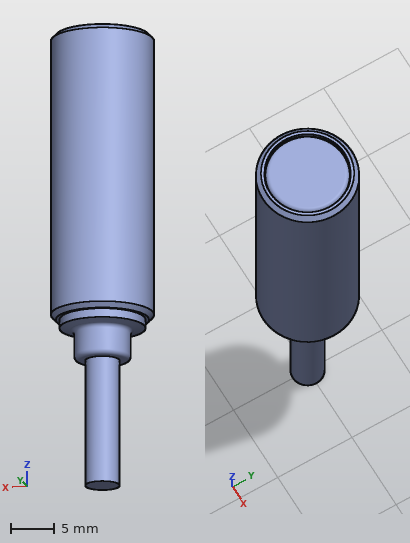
import cadquery as cq

TOTAL_HEIGHT = 54.0
SLEEVE_BOTTOM = 19.9

SLEEVE_RADIUS = 12.0 / 2
SLEEVE_CHAMFER = 0.6

CORE_RADIUS = 10.0 / 2
CORE_BOTTOM = 18.9
CAP_RADIUS = 9.8 / 2
CAP_FILLET = 0.55

CONE_BOTTOM = 18.65
NECK_RADIUS = 3.3
NECK_BOTTOM = 15.0
NECK_TOP_FILLET = 0.5
NECK_BOTTOM_FILLET = 0.55

CABLE_RADIUS = 4.0 / 2

ARC_MID = 1 - 0.5 ** 0.5


def make_sleeve():
    """Tube with both outer end edges chamfered."""
    height = TOTAL_HEIGHT - SLEEVE_BOTTOM
    tube = cq.Workplane("XY").workplane(offset=SLEEVE_BOTTOM).circle(SLEEVE_RADIUS).extrude(height)
    tube = tube.faces("<Z or >Z").chamfer(SLEEVE_CHAMFER)
    bore = cq.Workplane("XY").workplane(offset=SLEEVE_BOTTOM).circle(CORE_RADIUS).extrude(height)
    return tube.cut(bore)


def make_core():
    """Turned core, revolved from a half profile of radius (X) and height (Z)."""
    neck_top = CONE_BOTTOM - NECK_TOP_FILLET
    neck_side_bottom = NECK_BOTTOM + NECK_BOTTOM_FILLET
    cap_shoulder = TOTAL_HEIGHT - CAP_FILLET
    profile = (
        cq.Workplane("XZ")
        .moveTo(0, 0)
        .lineTo(CABLE_RADIUS, 0)
        .lineTo(CABLE_RADIUS, NECK_BOTTOM)
        .lineTo(NECK_RADIUS - NECK_BOTTOM_FILLET, NECK_BOTTOM)
        .threePointArc(
            (NECK_RADIUS - NECK_BOTTOM_FILLET * ARC_MID, NECK_BOTTOM + NECK_BOTTOM_FILLET * ARC_MID),
            (NECK_RADIUS, neck_side_bottom),
        )
        .lineTo(NECK_RADIUS, neck_top)
        .threePointArc(
            (NECK_RADIUS + NECK_TOP_FILLET * ARC_MID, CONE_BOTTOM - NECK_TOP_FILLET * ARC_MID),
            (NECK_RADIUS + NECK_TOP_FILLET, CONE_BOTTOM),
        )
        .lineTo(CORE_RADIUS, CORE_BOTTOM)
        .lineTo(CORE_RADIUS, cap_shoulder)
        .lineTo(CAP_RADIUS, cap_shoulder)
        .threePointArc(
            (CAP_RADIUS - CAP_FILLET * ARC_MID, TOTAL_HEIGHT - CAP_FILLET * ARC_MID),
            (CAP_RADIUS - CAP_FILLET, TOTAL_HEIGHT),
        )
        .lineTo(0, TOTAL_HEIGHT)
        .close()
    )
    return profile.revolve(360, (0, 0, 0), (0, 1, 0))


sleeve = make_sleeve()
core = make_core()

result = cq.Compound.makeCompound([sleeve.val(), core.val()])